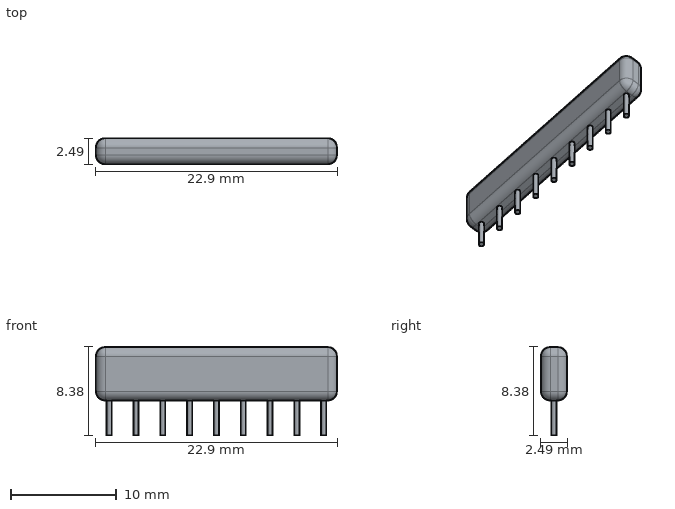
import cadquery as cq


PIN_COUNT = 9
PIN_PITCH = 2.54
PIN_DIAMETER = 0.508
PIN_LENGTH = 3.30

HOUSING_LENGTH = PIN_COUNT * PIN_PITCH
HOUSING_THICKNESS = 2.49
HOUSING_HEIGHT = 5.08
EDGE_RADIUS = 0.90


def make_housing():
    """Solid block with every edge rounded to the same radius."""
    block = cq.Workplane("XY").box(
        HOUSING_LENGTH, HOUSING_THICKNESS, HOUSING_HEIGHT, centered=(True, True, False)
    )
    return block.edges().fillet(EDGE_RADIUS)


def make_pin(x):
    """Round pin hanging from the housing underside at position x along the row."""
    return cq.Workplane("XY").center(x, 0).circle(PIN_DIAMETER / 2).extrude(-PIN_LENGTH)


housing = make_housing()

first_pin_x = -(PIN_COUNT - 1) * PIN_PITCH / 2
pins = []
for index in range(PIN_COUNT):
    pins.append(make_pin(first_pin_x + index * PIN_PITCH))

result = cq.Compound.makeCompound([housing.val(), *[pin.val() for pin in pins]])